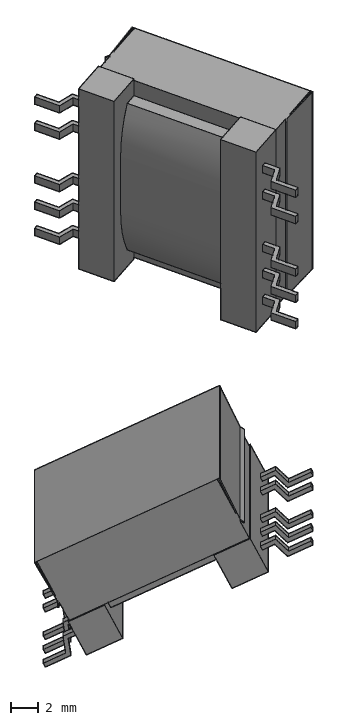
import cadquery as cq
import math

OVERALL_LENGTH = 22.0
OVERALL_DEPTH = 8.6
FLANGE_HEIGHT = 17.2

FLANGE_SPAN = 14.95
FLANGE_WIDTH = 3.0
FLANGE_DEPTH = 3.0
STANDOFF = 0.3

CORE_LENGTH = 14.8
CORE_HEIGHT = 16.9

WINDING_HEIGHT = 14.0
WINDING_FLAT_HEIGHT = 5.3
WINDING_FRONT = 1.3
WINDING_RADIUS = 10.0

PIN_THICKNESS = 0.35
PIN_WIDTH = 0.7
PIN_PITCH = 2.5
PIN_POSITIONS = 6
EMPTY_POSITION = 3
PIN_SHOULDER = 1.3
PIN_FOOT_LENGTH = 2.1
PIN_LEG_ANGLE = 72.0

CLIP_THICKNESS = 0.1
CLIP_LENGTH = 15.22
CLIP_PINCH_LENGTH = 14.95
CLIP_BEND_Y = 4.95
CLIP_LIP_DROP = 0.33
CLIP_LIP_FLARE = 0.2

flange_back = STANDOFF + FLANGE_DEPTH
core_back = OVERALL_DEPTH - CLIP_THICKNESS


def block(length, height, front, back, centre_x=0.0):
    """Box centred on z = 0 that fills y from front to back."""
    depth = back - front
    return cq.Workplane("XY").box(length, depth, height).translate((centre_x, front + depth / 2, 0))


def mirrored_pair(right_side):
    """A feature on the +X side together with its mirror image."""
    return right_side.union(right_side.mirror("YZ"))


def make_winding():
    """Flat front face with tangent round shoulders, filling the gap between the flanges."""
    length = FLANGE_SPAN - 2 * FLANGE_WIDTH
    half_flat = WINDING_FLAT_HEIGHT / 2
    half_height = WINDING_HEIGHT / 2
    arc_centre_y = WINDING_FRONT + WINDING_RADIUS
    arc_angle = math.asin((half_height - half_flat) / WINDING_RADIUS)

    def shoulder_point(angle):
        y = arc_centre_y - WINDING_RADIUS * math.cos(angle)
        z = half_flat + WINDING_RADIUS * math.sin(angle)
        return y, z

    end_y, end_z = shoulder_point(arc_angle)
    middle_y, middle_z = shoulder_point(arc_angle / 2)
    return (
        cq.Workplane("YZ")
        .moveTo(flange_back, -end_z)
        .lineTo(end_y, -end_z)
        .threePointArc((middle_y, -middle_z), (WINDING_FRONT, -half_flat))
        .lineTo(WINDING_FRONT, half_flat)
        .threePointArc((middle_y, middle_z), (end_y, end_z))
        .lineTo(flange_back, end_z)
        .close()
        .extrude(length / 2, both=True)
    )


def make_pin(centre_z):
    """Gull-wing pin of constant thickness on the +X side."""
    leg_angle = math.radians(PIN_LEG_ANGLE)
    tip_x = OVERALL_LENGTH / 2
    root_x = FLANGE_SPAN / 2
    heel_x = tip_x - PIN_FOOT_LENGTH
    shoulder_x = heel_x - PIN_SHOULDER / math.tan(leg_angle)
    mitre = PIN_THICKNESS * math.tan(leg_angle / 2)
    outline = [
        (root_x, PIN_SHOULDER),
        (shoulder_x, PIN_SHOULDER),
        (heel_x, 0),
        (tip_x, 0),
        (tip_x, PIN_THICKNESS),
        (heel_x + mitre, PIN_THICKNESS),
        (shoulder_x + mitre, PIN_SHOULDER + PIN_THICKNESS),
        (root_x, PIN_SHOULDER + PIN_THICKNESS),
    ]
    pin = cq.Workplane("XY").polyline(outline).close().extrude(PIN_WIDTH / 2, both=True)
    return pin.translate((0, 0, centre_z))


def make_clip_leg():
    """Leg on the +X side that leans in to the core and ends in a flared lip."""
    corner_x = CLIP_LENGTH / 2
    bend_x = CLIP_PINCH_LENGTH / 2
    lip_x = bend_x + CLIP_LIP_FLARE
    lip_y = CLIP_BEND_Y - CLIP_LIP_DROP
    lip_length = math.hypot(CLIP_LIP_FLARE, CLIP_LIP_DROP)
    end_dx = CLIP_THICKNESS * CLIP_LIP_DROP / lip_length
    end_dy = CLIP_THICKNESS * CLIP_LIP_FLARE / lip_length
    outline = [
        (corner_x, OVERALL_DEPTH),
        (bend_x, CLIP_BEND_Y),
        (lip_x, lip_y),
        (lip_x - end_dx, lip_y - end_dy),
        (bend_x - CLIP_THICKNESS, CLIP_BEND_Y - end_dy),
        (corner_x - CLIP_THICKNESS, OVERALL_DEPTH),
    ]
    return cq.Workplane("XY").polyline(outline).close().extrude(CORE_HEIGHT / 2, both=True)


core = block(CORE_LENGTH, CORE_HEIGHT, flange_back, core_back)
flange_x = (FLANGE_SPAN - FLANGE_WIDTH) / 2
flange = block(FLANGE_WIDTH, FLANGE_HEIGHT, STANDOFF, flange_back, flange_x)
result = core.union(mirrored_pair(flange)).union(make_winding())

clip_back = block(CLIP_LENGTH, CORE_HEIGHT, core_back, OVERALL_DEPTH)
result = result.union(clip_back).union(mirrored_pair(make_clip_leg()))

for position in range(PIN_POSITIONS):
    if position != EMPTY_POSITION:
        pin_z = (position - (PIN_POSITIONS - 1) / 2) * PIN_PITCH
        result = result.union(mirrored_pair(make_pin(pin_z)))